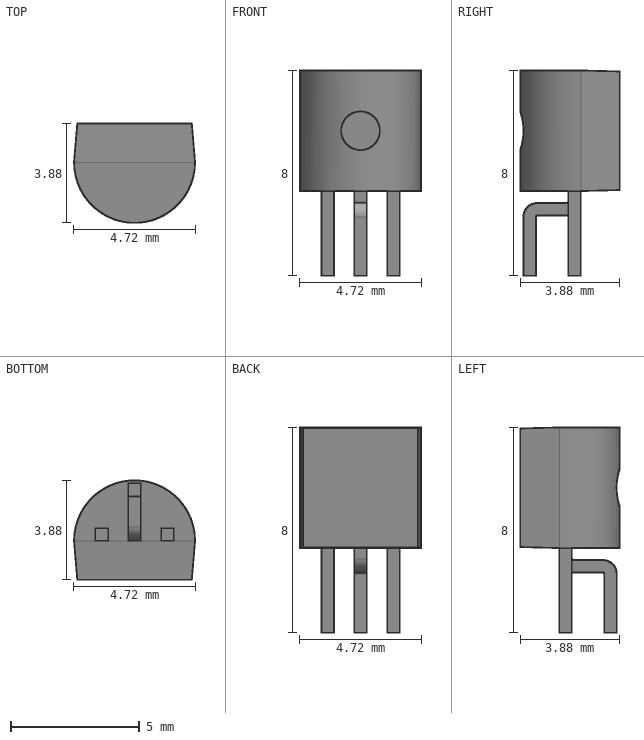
import cadquery as cq
import math

total_height = 8.0

housing_radius = 2.36
housing_height = 4.7
back_depth = 1.52
side_draft = 0.13
end_draft = 0.04

mark_diameter = 1.5
mark_depth = 0.2

lead_size = 0.5
lead_pitch = 1.28
lead_length = total_height - housing_height

lead_offset = 1.74
inner_radius = 0.05
outer_radius = inner_radius + lead_size
upper_bend_z = -0.41
upper_bend_y = -outer_radius
lower_bend_y = -lead_offset + inner_radius
lower_bend_z = upper_bend_z - inner_radius - outer_radius


def arc_middle(center_y, center_z, radius, side):
    """Midpoint of a quarter bend: side +1 faces back and down, -1 faces front and up."""
    reach = side * radius * math.sqrt(0.5)
    return (center_y + reach, center_z - reach)


def make_housing():
    front = (
        cq.Workplane("XY")
        .moveTo(-housing_radius, 0)
        .threePointArc((0, -housing_radius), (housing_radius, 0))
        .close()
        .extrude(housing_height)
    )
    back = (
        cq.Workplane("XZ")
        .center(0, housing_height / 2)
        .rect(2 * housing_radius, housing_height)
        .workplane(offset=-back_depth)
        .rect(2 * (housing_radius - side_draft), housing_height - 2 * end_draft)
        .loft(ruled=True)
    )
    mark = (
        cq.Workplane("XZ", origin=(0, -housing_radius, 0))
        .center(0, housing_height / 2)
        .circle(mark_diameter / 2)
        .extrude(-mark_depth)
    )
    return front.union(back, clean=False).cut(mark)


def make_straight_lead(x):
    return cq.Workplane("XY").box(
        lead_size, lead_size, lead_length, centered=(True, False, False)
    ).translate((x, -lead_size, -lead_length))


def make_formed_lead():
    lower_back_y = -lead_offset
    lower_front_y = -lead_offset - lead_size
    return (
        cq.Workplane("YZ", origin=(-lead_size / 2, 0, 0))
        .moveTo(0, 0)
        .lineTo(0, upper_bend_z)
        .threePointArc(
            arc_middle(upper_bend_y, upper_bend_z, outer_radius, 1),
            (upper_bend_y, upper_bend_z - outer_radius),
        )
        .lineTo(lower_bend_y, lower_bend_z + inner_radius)
        .threePointArc(
            arc_middle(lower_bend_y, lower_bend_z, inner_radius, -1),
            (lower_back_y, lower_bend_z),
        )
        .lineTo(lower_back_y, -lead_length)
        .lineTo(lower_front_y, -lead_length)
        .lineTo(lower_front_y, lower_bend_z)
        .threePointArc(
            arc_middle(lower_bend_y, lower_bend_z, outer_radius, -1),
            (lower_bend_y, lower_bend_z + outer_radius),
        )
        .lineTo(upper_bend_y, upper_bend_z - inner_radius)
        .threePointArc(
            arc_middle(upper_bend_y, upper_bend_z, inner_radius, 1),
            (-lead_size, upper_bend_z),
        )
        .lineTo(-lead_size, 0)
        .close()
        .extrude(lead_size)
    )


housing = make_housing()
formed_lead = make_formed_lead()
straight_leads = [make_straight_lead(side * lead_pitch) for side in (-1, 1)]

result = cq.Compound.makeCompound(
    [housing.val(), formed_lead.val(), *[lead.val() for lead in straight_leads]]
)